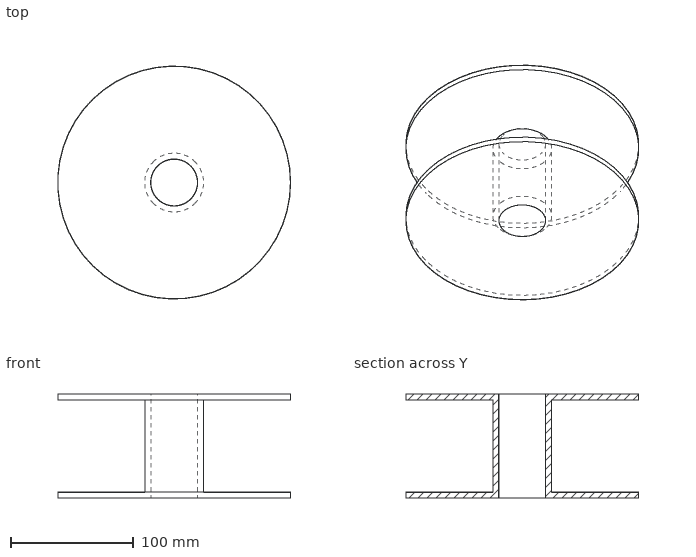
import cadquery as cq

flange_diameter = 190.0
flange_thickness = 5.0
hub_diameter = 48.0
bore_diameter = 38.0
spool_height = 85.0


def disc(diameter, height, base_z):
    """Solid cylinder on the spool axis, standing on base_z."""
    return cq.Workplane("XY").workplane(offset=base_z).circle(diameter / 2).extrude(height)


bottom_z = -spool_height / 2
top_flange_z = spool_height / 2 - flange_thickness

spool = disc(hub_diameter, spool_height, bottom_z)
for flange_z in (bottom_z, top_flange_z):
    spool = spool.union(disc(flange_diameter, flange_thickness, flange_z))

result = spool.cut(disc(bore_diameter, spool_height, bottom_z))